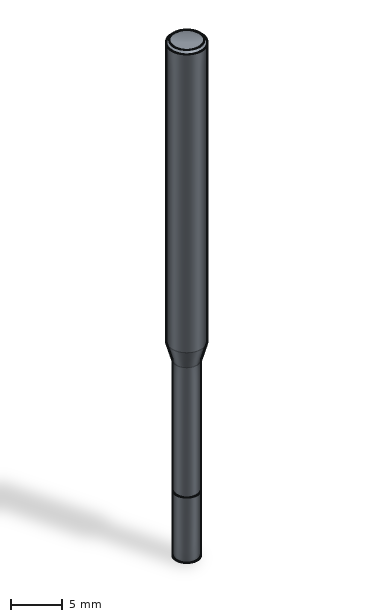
import cadquery as cq

total_length = 62.0
shank_diameter = 4.0
neck_diameter = 2.8

point_height = 0.5
cutter_top = 8.3
neck_top = 23.8
shank_bottom = 26.05

bevel_width = 0.3
bevel_height = 0.3

shank_radius = shank_diameter / 2
neck_radius = neck_diameter / 2


def make_cutter():
    """Cylindrical cutting end with a shallow conical point."""
    return (
        cq.Workplane("XZ")
        .moveTo(0, 0)
        .lineTo(-neck_radius, point_height)
        .lineTo(-neck_radius, cutter_top)
        .lineTo(0, cutter_top)
        .close()
        .revolve(360, (0, 0), (0, 1))
    )


def make_shank():
    """Slim neck that flares into the bevelled shank."""
    return (
        cq.Workplane("YZ")
        .moveTo(0, cutter_top)
        .lineTo(-neck_radius, cutter_top)
        .lineTo(-neck_radius, neck_top)
        .lineTo(-shank_radius, shank_bottom)
        .lineTo(-shank_radius, total_length - bevel_height)
        .lineTo(-(shank_radius - bevel_width), total_length)
        .lineTo(0, total_length)
        .close()
        .revolve(360, (0, 0), (0, 1))
    )


cutter = make_cutter()
shank = make_shank()

result = cq.Compound.makeCompound([cutter.val(), shank.val()])